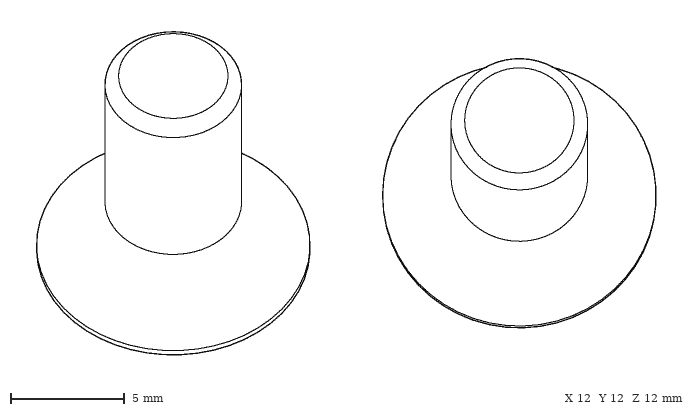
import cadquery as cq

total_length = 12.0
head_diameter = 12.0
shank_diameter = 6.0
rim_height = 0.3
tip_chamfer = 0.6

cone_height = (head_diameter - shank_diameter) / 2
shank_length = total_length - rim_height - cone_height


def make_head():
    """Flat rim below a cone that narrows to the shank."""
    rim = cq.Workplane("XY").circle(head_diameter / 2).extrude(rim_height)
    cone = cq.Workplane(
        cq.Solid.makeCone(
            head_diameter / 2,
            shank_diameter / 2,
            cone_height,
            pnt=cq.Vector(0, 0, rim_height),
        )
    )
    return rim.union(cone)


def make_shank():
    """Plain cylinder with a chamfered tip."""
    return (
        cq.Workplane("XY")
        .workplane(offset=rim_height + cone_height)
        .circle(shank_diameter / 2)
        .extrude(shank_length)
        .faces(">Z")
        .chamfer(tip_chamfer)
    )


result = make_head().union(make_shank())